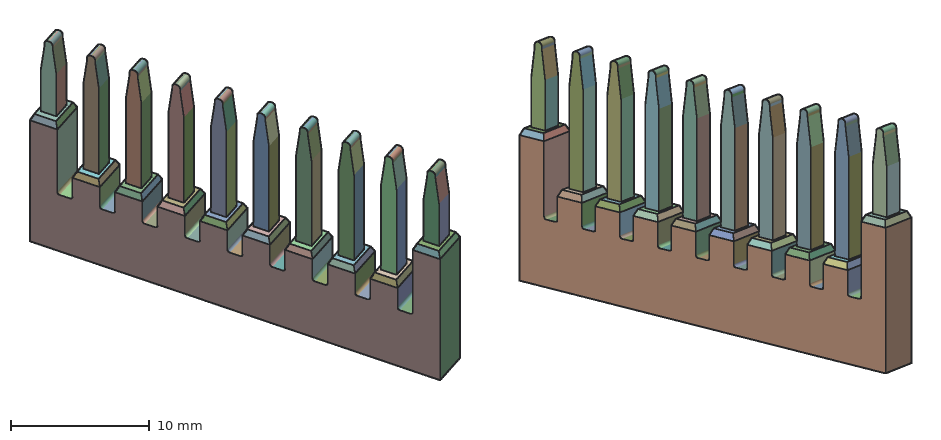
import cadquery as cq

length = 33.75
depth = 3.0
height = 18.2

post_count = 10
post_width = 2.25
post_pitch = (length - post_width) / (post_count - 1)
slot_floor_height = 5.15
slot_corner_radius = 0.2
low_post_height = 7.63
end_post_height = 11.58
bevel_height = 0.5
bevel_inset = 0.25

pin_width = 1.28
pin_depth = 1.52
taper_start_depth = 2.77
tip_width = 0.68
tip_height = 0.5
tip_radius = 0.3


def make_base():
    """Solid bar below the slots."""
    return cq.Workplane("XY").box(length, depth, slot_floor_height, centered=(True, True, False))


def make_post(x, top):
    """Post from the bottom of the part up to `top`, with a sloped rim all round."""
    shoulder = top - bevel_height
    column = (
        cq.Workplane("XY")
        .center(x, 0)
        .box(post_width, depth, shoulder, centered=(True, True, False))
    )
    rim = (
        cq.Workplane("XY", origin=(x, 0, shoulder))
        .rect(post_width, depth)
        .workplane(offset=bevel_height)
        .rect(post_width - 2 * bevel_inset, depth - 2 * bevel_inset)
        .loft(combine=True)
    )
    return column.union(rim)


def make_pin(x, foot):
    """Pin from `foot` to the full height: straight shank, taper, then a narrow rounded tip."""
    half_width = pin_width / 2
    half_tip = tip_width / 2
    blank = (
        cq.Workplane("XZ", origin=(x, 0, 0))
        .moveTo(-half_width, foot)
        .lineTo(half_width, foot)
        .lineTo(half_width, height - taper_start_depth)
        .lineTo(half_tip, height - tip_height)
        .lineTo(half_tip, height)
        .lineTo(-half_tip, height)
        .lineTo(-half_tip, height - tip_height)
        .lineTo(-half_width, height - taper_start_depth)
        .close()
        .extrude(pin_depth / 2, both=True)
    )
    return blank.faces(">Z").edges("|Y").fillet(tip_radius)


def round_slot_corners(body):
    """Fillet the inside corners where the slot floors meet the posts."""
    tolerance = 0.005
    corners = cq.selectors.BoxSelector(
        (-length / 2 + tolerance, -depth, slot_floor_height - tolerance),
        (length / 2 - tolerance, depth, slot_floor_height + tolerance),
    )
    return body.edges("|Y").edges(corners).fillet(slot_corner_radius)


body = make_base()
pins = []
for index in range(post_count):
    post_x = -length / 2 + post_width / 2 + index * post_pitch
    is_end_post = index in (0, post_count - 1)
    post_top = end_post_height if is_end_post else low_post_height
    body = body.union(make_post(post_x, post_top))
    pins.append(make_pin(post_x, post_top))

result = round_slot_corners(body.clean())
for pin in pins:
    result = result.union(pin)